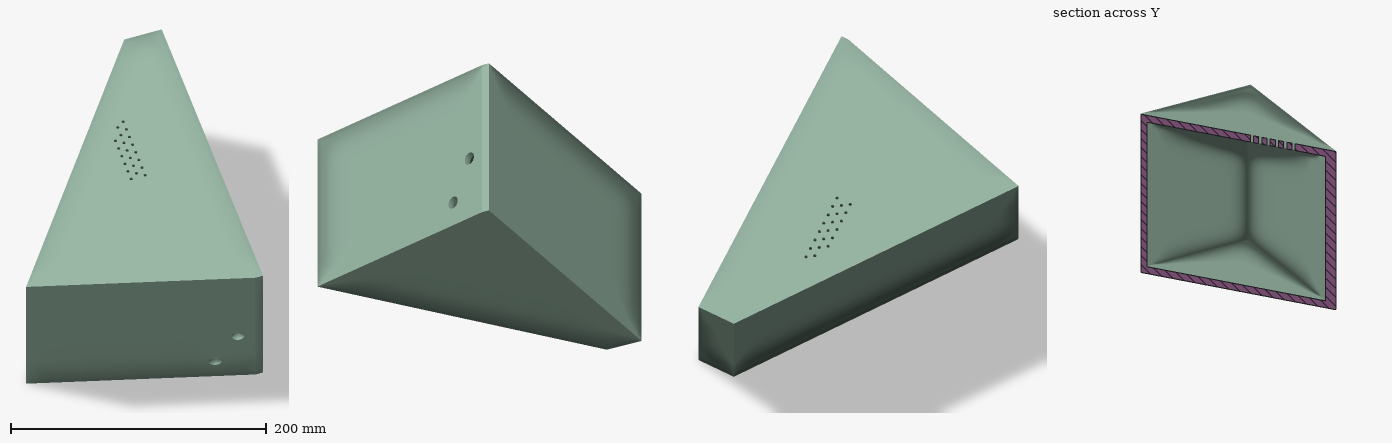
import cadquery as cq
import math

WIDTH = 250.0
DEPTH = 179.2
HEIGHT = 130.0
WALL = 6.0

LEFT_SIDE_DEPTH = 31.0
FRONT_CORNER_X = 201.5

VENT_DIAMETER = 2.5
VENT_PITCH = 7.8
VENT_ROW_SPACING = 5.8
FIRST_VENT_X = 74.8
FIRST_VENT_Y = -56.8
VENT_ROWS = [(0, 8), (0.5, 7), (2, 6)]

CABLE_HOLE_DIAMETER = 10.0
CABLE_HOLES = [(14.0, 52.5), (31.8, 20.0)]

side_run_x = FRONT_CORNER_X - WIDTH
side_run_y = WALL - DEPTH
side_length = math.hypot(side_run_x, side_run_y)
side_direction = cq.Vector(side_run_x / side_length, side_run_y / side_length, 0)
side_inward = cq.Vector(side_direction.y, -side_direction.x, 0)


def make_back_panel():
    """Flat panel that closes the open back of the housing."""
    return cq.Workplane("XY").box(WIDTH, WALL, HEIGHT, centered=False).translate((0, -WALL, 0))


def make_shell():
    """Four-sided box with even walls, open towards the back panel."""
    block = (
        cq.Workplane("XY")
        .moveTo(0, -WALL)
        .lineTo(WIDTH, -WALL)
        .lineTo(FRONT_CORNER_X, -DEPTH)
        .lineTo(0, -LEFT_SIDE_DEPTH)
        .close()
        .extrude(HEIGHT)
    )
    return block.faces(">Y").shell(-WALL)


def vent_points():
    """Centres of the staggered rows of vent holes."""
    points = []
    for row, (first_column, count) in enumerate(VENT_ROWS):
        for step in range(count):
            x = FIRST_VENT_X + (first_column + step) * VENT_PITCH
            y = FIRST_VENT_Y - row * VENT_ROW_SPACING
            points.append((x, y))
    return points


def make_vent_cutter():
    """Cylinders through the top wall."""
    return (
        cq.Workplane("XY")
        .workplane(offset=HEIGHT - WALL)
        .pushPoints(vent_points())
        .circle(VENT_DIAMETER / 2)
        .extrude(WALL)
    )


def make_cable_hole_cutter(distance, height):
    """Cylinder through the slanted right wall."""
    centre = cq.Vector(WIDTH, -WALL, height) + side_direction * distance
    hole_plane = cq.Plane(origin=centre, xDir=side_direction, normal=side_inward)
    return cq.Workplane(hole_plane).circle(CABLE_HOLE_DIAMETER / 2).extrude(WALL)


def make_housing():
    """Hollow housing with its vents and cable holes."""
    body = make_shell().cut(make_vent_cutter())
    for distance, height in CABLE_HOLES:
        body = body.cut(make_cable_hole_cutter(distance, height))
    return body


back_panel = make_back_panel()
housing = make_housing()

result = cq.Compound.makeCompound([back_panel.val(), housing.solids().val()])